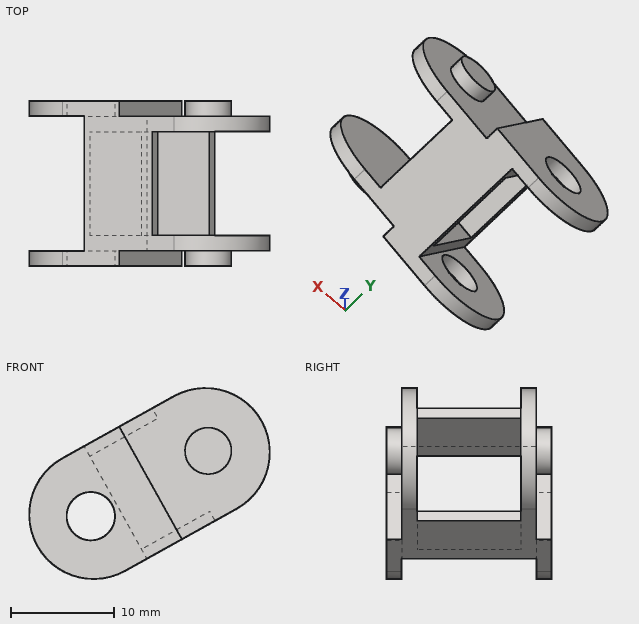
import cadquery as cq

tilt_angle = 29.1
end_spacing = 12.37
end_radius = 6.25
pitch = 13.0
hole_diameter = 4.65
pin_diameter = 4.5
outer_width = 16.0
plate_thickness = 1.5
tube_length = 7.55
tube_wall = 1.1
plate_step = 0.12

half_outer = outer_width / 2
half_inner = half_outer - plate_thickness
half_gap = half_inner - plate_thickness
link_height = 2 * end_radius


def plate_blank(half_width):
    """Full link outline, extended symmetrically about the XZ plane."""
    slot_length = end_spacing + link_height
    return cq.Workplane("XZ").slot2D(slot_length, link_height).extrude(half_width, both=True)


def slab(x_start, x_end, width, height):
    """Box between two stations along the link, centred in Y and Z."""
    length = x_end - x_start
    return cq.Workplane("XY").box(length, width, height).translate((x_start + length / 2, 0, 0))


def cross_cylinder(x, diameter, half_width):
    """Cylinder along Y through the whole link."""
    return cq.Workplane("XZ").center(x, 0).circle(diameter / 2).extrude(half_width, both=True)


link_end = end_spacing / 2 + end_radius
tube_end = tube_length / 2

outer_plates = (
    plate_blank(half_outer)
    .intersect(slab(-link_end, plate_step, outer_width, link_height))
    .cut(slab(-link_end, link_end, 2 * half_inner, link_height))
    .cut(cross_cylinder(-pitch / 2, hole_diameter, half_outer))
)

inner_plates = plate_blank(half_inner).intersect(
    slab(-tube_end, link_end, 2 * half_inner, link_height)
)
pins = cross_cylinder(pitch / 2, pin_diameter, half_outer)
inner_gap = slab(-link_end, link_end, 2 * half_gap, link_height)
inner_side = inner_plates.union(pins).cut(inner_gap)

tube_opening = slab(-tube_end, tube_end, 2 * half_gap, link_height - 2 * tube_wall)
tube = slab(-tube_end, tube_end, 2 * half_inner, link_height).cut(tube_opening)

result = outer_plates.union(inner_side).union(tube)
result = result.rotate((0, 0, 0), (0, 1, 0), -tilt_angle)